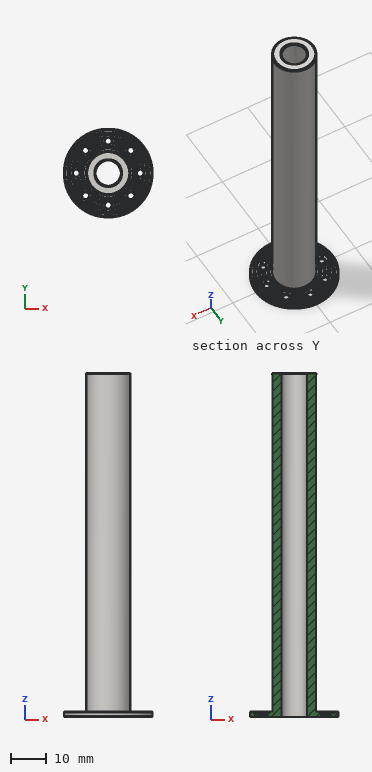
import cadquery as cq

flange_diameter = 25.0
rim_height = 0.92
flange_chamfer = 0.34
flange_thickness = rim_height + 2 * flange_chamfer

total_height = 96.9
tube_diameter = 12.5
bore_diameter = 7.2
tube_chamfer = 0.3

hole_count = 8
hole_circle_radius = 9.0
hole_diameter = 2.0
countersink_diameter = 3.6
countersink_depth = 0.6

groove_count = 4
first_groove_radius = 7.3
groove_width = 0.63
groove_depth = 0.5
land_width = 0.7
groove_pitch = groove_width + land_width


def make_flange():
    """Disc with both rim edges chamfered."""
    flange = cq.Workplane("XY").circle(flange_diameter / 2).extrude(flange_thickness)
    return flange.edges().chamfer(flange_chamfer)


def make_tube():
    """Solid cylinder from the base to the full height, chamfered at the top."""
    tube = cq.Workplane("XY").circle(tube_diameter / 2).extrude(total_height)
    return tube.faces(">Z").edges().chamfer(tube_chamfer)


def make_bore():
    """Through bore with a chamfered mouth at the top of the tube."""
    bore = cq.Workplane("XY").circle(bore_diameter / 2).extrude(total_height)
    mouth = (
        cq.Workplane("XY", origin=(0, 0, total_height))
        .circle(bore_diameter / 2 + tube_chamfer)
        .extrude(-tube_chamfer, taper=45)
    )
    return bore.union(mouth)


def make_groove(mid_radius):
    """Ring with a triangular section, point down, at the top face of the flange."""
    section = [
        (mid_radius - groove_width / 2, flange_thickness),
        (mid_radius, flange_thickness - groove_depth),
        (mid_radius + groove_width / 2, flange_thickness),
    ]
    return cq.Workplane("XZ").polyline(section).close().revolve(360, (0, 0, 0), (0, 1, 0))


def make_screw_hole():
    """Through hole on the +X axis, with the same countersink on both faces of the flange."""
    section = [
        (0, 0),
        (countersink_diameter / 2, 0),
        (hole_diameter / 2, countersink_depth),
        (hole_diameter / 2, flange_thickness - countersink_depth),
        (countersink_diameter / 2, flange_thickness),
        (0, flange_thickness),
    ]
    hole = cq.Workplane("XZ").polyline(section).close().revolve(360, (0, 0, 0), (0, 1, 0))
    return hole.translate((hole_circle_radius, 0, 0))


body = make_flange().union(make_tube()).cut(make_bore())

for index in range(groove_count):
    body = body.cut(make_groove(first_groove_radius + index * groove_pitch))

for index in range(hole_count):
    angle = index * 360 / hole_count
    body = body.cut(make_screw_hole().rotate((0, 0, 0), (0, 0, 1), angle))

result = body